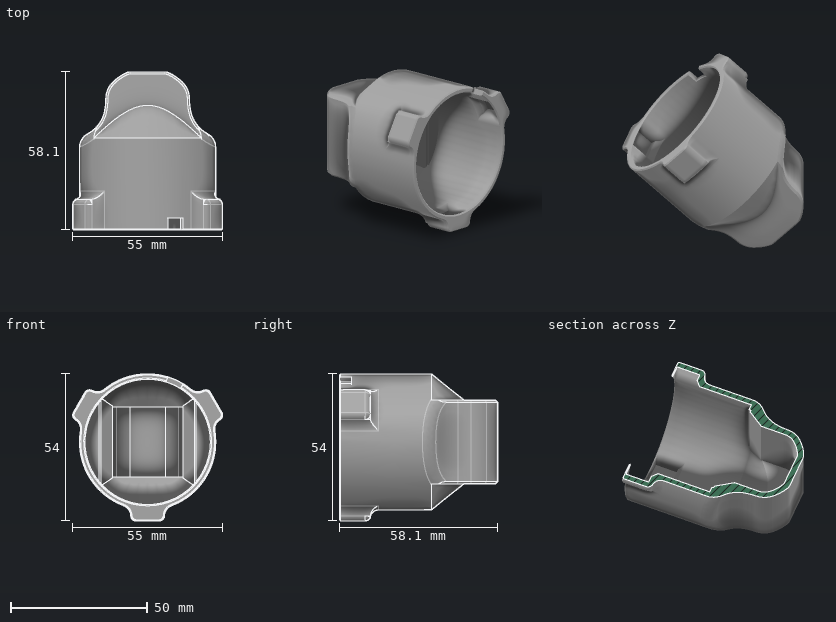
import cadquery as cq
import math

OUTER_RADIUS = 25.0
INNER_RADIUS = 23.0
WALL = OUTER_RADIUS - INNER_RADIUS
TUBE_LENGTH = 33.75
RIM_CHAMFER = 0.45
MARGIN = 5.0

CONE_ANGLE = 38.8
CONE_SLOPE = math.tan(math.radians(CONE_ANGLE))
CONE_WALL = WALL / math.cos(math.radians(CONE_ANGLE))

TOTAL_LENGTH = 58.05
TAB_HALF_THICKNESS = 15.35
TAB_CHAMFER = 0.8
TAB_WALL = 2.45
TAB_END_HALF_FLAT = 6.2
TAB_END_ROUND = 4.0
TAB_CROWN_RADIUS = 16.6
TAB_CROWN_START_ANGLE = 24.6
TAB_CROWN_END_ANGLE = 47.4
TAB_SIDE_ROUND = 8.3

FLARE_RADIUS = 23.0
FLARE_SWEEP = 12.0
SHOULDER_RADIUS = 12.0
SHOULDER_END_ANGLE = 88.0
SHOULDER_FILLET = 5.5
TAB_ROOT_Y = 20.0

FLOOR_Y = 31.75
HOLLOW_FLARE_Y = 38.7
LEDGE_RISE = 0.7
LEDGE_INNER_HALF_WIDTH = 17.1
LEDGE_OUTER_HALF_WIDTH = 17.8

LUG_ANGLES = (30.0, 150.0, 270.0)
LUG_RADIUS = 29.0
LUG_HALF_WIDTH = 6.2
LUG_ROUND = 2.0
LUG_SIDE_FILLET = 4.0
LUG_END_FILLET = 3.0
LUG_LENGTH = 14.3
LUG_LIP = 0.6
HOLLOW_SIDE_FILLET = 3.25
HOLLOW_END_SLOPE = 1.85

NOTCH_ANGLE = 65.65
NOTCH_WIDTH = 6.0
NOTCH_DEPTH = 4.4


def direction(angle):
    """Unit vector at an angle in degrees."""
    return math.cos(math.radians(angle)), math.sin(math.radians(angle))


def arc_step(start, radius, heading, turn):
    """Middle point, end point of an arc that leaves start on a heading and turns (degrees, + is left)."""
    side = math.copysign(1.0, turn)
    to_center = direction(heading + side * 90)
    center = (start[0] + radius * to_center[0], start[1] + radius * to_center[1])
    points = []
    for part in (0.5, 1.0):
        out = direction(heading + part * turn - side * 90)
        points.append((center[0] + radius * out[0], center[1] + radius * out[1]))
    return points


def tab_arcs(start, heading, radii_and_turns):
    """Arcs (middle, end) that run on from a start point, each a radius and a turn in degrees."""
    arcs = []
    for radius, turn in radii_and_turns:
        middle, start = arc_step(start, radius, heading, turn)
        heading += turn
        arcs.append((middle, start))
    return arcs


def mirrored_plate(start, arcs, corners, half_thickness):
    """Plate about z = 0 whose outline is an end flat, arcs and then corners, mirrored in X."""
    half = cq.Workplane("XY").moveTo(0, start[1]).lineTo(*start)
    for middle, end in arcs:
        half = half.threePointArc(middle, end)
    for corner in corners:
        half = half.lineTo(*corner)
    return half.mirrorY().extrude(half_thickness, both=True)


def turned(points):
    """Solid of revolution about Y from (radius, y) points."""
    return cq.Workplane("XY").polyline(points).close().revolve(360, (0, 0), (0, 1))


def capped_tube(radius, cone_start, end_radius):
    """Cylinder from the mouth that narrows in a cone to an end radius."""
    cone_end = cone_start + (radius - end_radius) / CONE_SLOPE
    return turned([(0, 0), (radius, 0), (radius, cone_start), (end_radius, cone_end), (0, cone_end)])


def cylinder(radius, start, end):
    """Cylinder about Y between two levels."""
    return turned([(0, start), (radius, start), (radius, end), (0, end)])


def outer_tab():
    """Tab with flared sides that run into the rounded tube shoulder, trimmed to the tube."""
    start = (TAB_END_HALF_FLAT, TOTAL_LENGTH)
    arcs = tab_arcs(start, 0, [
        (TAB_END_ROUND, -TAB_CROWN_START_ANGLE),
        (TAB_CROWN_RADIUS, TAB_CROWN_START_ANGLE - TAB_CROWN_END_ANGLE),
        (TAB_SIDE_ROUND, TAB_CROWN_END_ANGLE - 90),
        (FLARE_RADIUS, FLARE_SWEEP),
        (SHOULDER_RADIUS, SHOULDER_END_ANGLE - FLARE_SWEEP),
    ])
    shoulder_x, shoulder_y = arcs[-1][1]
    corners = [(shoulder_x, TAB_ROOT_Y), (0, TAB_ROOT_Y)]
    tab = mirrored_plate(start, arcs, corners, TAB_HALF_THICKNESS)
    tab = tab.intersect(cylinder(OUTER_RADIUS, 0, TOTAL_LENGTH + MARGIN))

    above_shoulder = cq.selectors.BoxSelector(
        (-OUTER_RADIUS, shoulder_y + WALL, -OUTER_RADIUS),
        (OUTER_RADIUS, TOTAL_LENGTH + MARGIN, OUTER_RADIUS),
    )
    tab = tab.faces("<Z or >Z").edges(above_shoulder).chamfer(TAB_CHAMFER)
    for side in (-1, 1):
        shoulder_edge = cq.selectors.NearestToPointSelector((side * OUTER_RADIUS, shoulder_y, 0))
        tab = tab.edges(shoulder_edge).fillet(SHOULDER_FILLET)
    return tab


def outer_shell():
    """Coned tube with the tab in place of its middle slice beyond the tube wall."""
    slice_length = TOTAL_LENGTH - TAB_ROOT_Y
    middle_slice = cq.Workplane("XY").box(2 * LUG_RADIUS, slice_length, 2 * TAB_HALF_THICKNESS)
    middle_slice = middle_slice.translate((0, TAB_ROOT_Y + slice_length / 2, 0))
    tube = capped_tube(OUTER_RADIUS, TUBE_LENGTH, TAB_HALF_THICKNESS)
    return tube.cut(middle_slice).union(outer_tab())


def cavity():
    """Bore, and beyond its floor the coned throat and the hollow of the tab."""
    crown_radius = TAB_CROWN_RADIUS - TAB_WALL
    cos_start, sin_start = direction(TAB_CROWN_START_ANGLE)
    crown_x = TAB_END_HALF_FLAT + (TAB_END_ROUND - TAB_CROWN_RADIUS) * sin_start
    crown_y = TOTAL_LENGTH - TAB_END_ROUND + (TAB_END_ROUND - TAB_CROWN_RADIUS) * cos_start
    end_y = TOTAL_LENGTH - TAB_WALL
    start_angle = math.degrees(math.acos((end_y - crown_y) / crown_radius))
    start = (crown_x + crown_radius * direction(start_angle)[1], end_y)
    arcs = tab_arcs(start, -start_angle, [
        (crown_radius, start_angle - TAB_CROWN_END_ANGLE),
        (TAB_SIDE_ROUND - TAB_WALL, TAB_CROWN_END_ANGLE - 90),
    ])
    ledge_y = FLOOR_Y + LEDGE_RISE
    hollow_half_thickness = TAB_HALF_THICKNESS - CONE_WALL
    corners = [
        (arcs[-1][1][0], HOLLOW_FLARE_Y),
        (LEDGE_INNER_HALF_WIDTH, ledge_y),
        (LEDGE_OUTER_HALF_WIDTH, ledge_y),
        (LEDGE_OUTER_HALF_WIDTH, 0),
        (0, 0),
    ]
    throat = mirrored_plate(start, arcs, corners, OUTER_RADIUS)
    inner_cone_start = TUBE_LENGTH - (CONE_WALL - WALL) / CONE_SLOPE
    throat = throat.intersect(capped_tube(INNER_RADIUS, inner_cone_start, hollow_half_thickness))
    tab_hollow = mirrored_plate(start, arcs, corners, hollow_half_thickness)
    tab_hollow = tab_hollow.intersect(cylinder(INNER_RADIUS, 0, TOTAL_LENGTH))
    return cylinder(INNER_RADIUS, 0, FLOOR_Y).union(throat).union(tab_hollow)


def lug_section(root_radius, side_fillet, top, half_width, corner):
    """Section about +X: fillets tangent to a tube radius, straight sides and a flat top.

    Returns the section and the distance from the axis at which its side fillets end.
    """
    center_z = half_width + side_fillet
    center_angle = math.degrees(math.asin(center_z / (root_radius + side_fillet)))
    center_x = (root_radius + side_fillet) * direction(center_angle)[0]
    root = direction(center_angle)
    bend = direction(270 - (90 - center_angle) / 2)
    section = cq.Workplane("XZ").moveTo(0, 0).lineTo(root_radius * root[0], root_radius * root[1])
    section = section.threePointArc(
        (center_x + side_fillet * bend[0], center_z + side_fillet * bend[1]),
        (center_x, half_width),
    )
    if corner > 0:
        bulge = corner * direction(45)[0]
        section = section.threePointArc(
            (top - corner + bulge, half_width - corner + bulge),
            (top, half_width - corner),
        )
    else:
        section = section.lineTo(top, half_width)
    return section.lineTo(top, 0).mirrorX(), math.hypot(center_x, half_width)


def lug():
    """Lug along +X that blends into the tube at its sides and far end."""
    section, root_reach = lug_section(
        OUTER_RADIUS, LUG_SIDE_FILLET, LUG_RADIUS, LUG_HALF_WIDTH, LUG_ROUND
    )
    body = section.extrude(-LUG_LENGTH)

    flat_length = lug_flat_length()
    envelope = cq.Workplane("XY").box(2 * LUG_RADIUS, 2 * (flat_length + LUG_ROUND), 2 * LUG_HALF_WIDTH)
    envelope = envelope.edges(">X or >Y").fillet(LUG_ROUND)
    root_cover = cylinder(root_reach, 0, LUG_LENGTH)
    straight_part = cylinder(LUG_RADIUS + MARGIN, 0, flat_length)
    body = body.intersect(envelope.union(root_cover).union(straight_part))

    rim = LUG_RADIUS + MARGIN
    fillet_radius = OUTER_RADIUS + LUG_END_FILLET
    fillet_end = LUG_LENGTH - LUG_END_FILLET
    bend = direction(225)
    blend = cq.Workplane("XY").moveTo(0, 0).lineTo(rim, 0).lineTo(rim, fillet_end)
    blend = blend.lineTo(fillet_radius, fillet_end)
    blend = blend.threePointArc(
        (fillet_radius + LUG_END_FILLET * bend[0], LUG_LENGTH + LUG_END_FILLET * bend[1]),
        (OUTER_RADIUS, LUG_LENGTH),
    )
    blend = blend.lineTo(0, LUG_LENGTH).close().revolve(360, (0, 0), (0, 1))
    return body.intersect(blend)


def lug_flat_length():
    """Length of the lug's flat top, before its end round meets the end fillet tangentially."""
    rise = OUTER_RADIUS + LUG_END_FILLET - (LUG_RADIUS - LUG_ROUND)
    return LUG_LENGTH - math.sqrt((LUG_END_FILLET + LUG_ROUND) ** 2 - rise**2)


def lug_hollow():
    """Pocket inside a lug, open to the bore, with a sloped far end and a closed lip at the mouth."""
    top = LUG_RADIUS - WALL
    section, _ = lug_section(INNER_RADIUS, HOLLOW_SIDE_FILLET, top, LUG_HALF_WIDTH - WALL, 0)
    wall_y = lug_flat_length()
    slope_y = wall_y + HOLLOW_END_SLOPE
    room = turned([
        (0, LUG_LIP),
        (top + MARGIN, LUG_LIP),
        (top + MARGIN, wall_y),
        (INNER_RADIUS + HOLLOW_END_SLOPE, wall_y),
        (INNER_RADIUS, slope_y),
        (0, slope_y),
    ])
    return section.extrude(-LUG_LENGTH).intersect(room)


def around(solid, angle):
    """Solid built along +X, turned about Y to an angle measured from X toward Z."""
    return solid.rotate((0, 0, 0), (0, 1, 0), -angle)


def notch():
    """Slot through the rim wall, built along +X."""
    slot = cq.Workplane("XY").box(2 * WALL, 2 * NOTCH_DEPTH, NOTCH_WIDTH)
    return slot.translate(((OUTER_RADIUS + INNER_RADIUS) / 2, 0, 0))


def bore_chamfer():
    """Cone that breaks the inner edge of the mouth."""
    return turned([
        (0, 0),
        (INNER_RADIUS + RIM_CHAMFER, 0),
        (INNER_RADIUS, RIM_CHAMFER),
        (0, RIM_CHAMFER),
    ])


def cup():
    """Whole part: shell and lugs, hollowed out and notched."""
    body = outer_shell()
    for angle in LUG_ANGLES:
        body = body.union(around(lug(), angle))
    body = body.faces("<Y").chamfer(RIM_CHAMFER)
    body = body.cut(cavity()).cut(bore_chamfer())
    for angle in LUG_ANGLES:
        body = body.cut(around(lug_hollow(), angle))
    return body.cut(around(notch(), NOTCH_ANGLE))


result = cup()